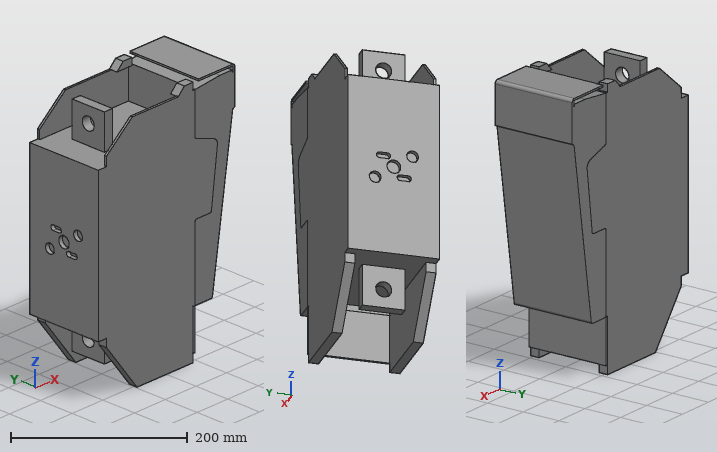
import cadquery as cq

WIDTH = 108.0
HEIGHT = 351.0
DEPTH = 223.0

BLOCK_BOTTOM = 77.5
BLOCK_TOP = 291.7
BLOCK_MIDDLE = (BLOCK_BOTTOM + BLOCK_TOP) / 2
WALL_FRONT = 13.5
WALL_TOP = 339.8
WALL_REAR = 154.8
HOUSING_REAR = 158.0
SHOULDER_BOTTOM = 70.2
UPPER_SLOPE_START_Z = 304.5
UPPER_SLOPE_END_X = 55.5
LOWER_SLOPE_START_Z = 66.0
LOWER_SLOPE_END_X = 63.2

UPPER_WALL = 3.0
THICK_WALL = 12.0
HOOK_FRONT = 130.2
HOOK_HEIGHT = 10.2

TONGUE_TOP = 278.5
TONGUE_TIP_X = 195.0
TONGUE_TIP_Z = 266.0
TONGUE_BOTTOM = 177.5
TONGUE_BOTTOM_X = 184.3
TONGUE_TIP_RADIUS = 9.0
TONGUE_SMALL_RADIUS = 2.8

RECESS_DEPTH = 6.0
CENTRE_DIAMETER = 16.0
ROUND_DIAMETER = 13.7
ROUND_OFFSET_Y = 22.0
ROUND_OFFSET_Z = 15.0
SLOT_LENGTH = 16.5
SLOT_HEIGHT = 7.0
SLOT_OFFSET_Y = 12.3
SLOT_OFFSET_Z = 12.5

TERMINAL_FRONT = 39.5
TERMINAL_THICKNESS = 13.5
TERMINAL_WIDTH = 50.5
TERMINAL_LENGTH = 50.2
TERMINAL_HOLE_DIAMETER = 18.5
TERMINAL_HOLE_TO_END = 22.5

PLATE_BOTTOM = 11.5

LID_FRONT = 163.5
LID_THICKNESS = 2.5
LID_EDGE_RADIUS = 4.2
LIP_THICKNESS = 3.5
LIP_INNER_X = DEPTH - LIP_THICKNESS
LIP_BOTTOM = 297.0
LIP_CHAMFER_DROP = 2.0
COVER_TOP = 344.0
COVER_TOP_FLAT_START = 198.3
COVER_EDGE_BREAK = 1.5
SLIT_DEPTH = 2.8
COVER_BOTTOM_X = 186.0
COVER_BOTTOM_RADIUS = 2.8


def extrude_across(points, width):
    """Prism with an XZ outline, centred on Y = 0."""
    return cq.Workplane("XZ").polyline(points).close().extrude(width / 2, both=True)


def box_between(x_range, width, z_range):
    """Box centred on Y = 0."""
    x0, x1 = x_range
    z0, z1 = z_range
    return extrude_across([(x0, z0), (x1, z0), (x1, z1), (x0, z1)], width)


def fillet_across(solid, x, z, radius):
    """Round the edge that runs along Y at the given XZ corner."""
    margin = 0.5
    corner = cq.selectors.BoxSelector(
        (x - margin, -WIDTH, z - margin), (x + margin, WIDTH, z + margin)
    )
    return solid.edges("|Y").edges(corner).fillet(radius)


def housing_blank():
    outline = [
        (0, BLOCK_BOTTOM),
        (WALL_FRONT, BLOCK_BOTTOM),
        (WALL_FRONT, LOWER_SLOPE_START_Z),
        (LOWER_SLOPE_END_X, 0),
        (WALL_REAR, 0),
        (WALL_REAR, SHOULDER_BOTTOM),
        (HOUSING_REAR, SHOULDER_BOTTOM),
        (HOUSING_REAR, TONGUE_BOTTOM),
        (TONGUE_BOTTOM_X, TONGUE_BOTTOM),
        (TONGUE_TIP_X, TONGUE_TIP_Z),
        (HOUSING_REAR, TONGUE_TOP),
        (HOUSING_REAR, WALL_TOP),
        (UPPER_SLOPE_END_X, WALL_TOP),
        (WALL_FRONT, UPPER_SLOPE_START_Z),
        (WALL_FRONT, BLOCK_TOP),
        (0, BLOCK_TOP),
    ]
    blank = extrude_across(outline, WIDTH)
    blank = fillet_across(blank, TONGUE_TIP_X, TONGUE_TIP_Z, TONGUE_TIP_RADIUS)
    blank = fillet_across(blank, TONGUE_BOTTOM_X, TONGUE_BOTTOM, TONGUE_SMALL_RADIUS)
    blank = fillet_across(blank, HOUSING_REAR, TONGUE_TOP, TONGUE_SMALL_RADIUS)
    return fillet_across(blank, HOUSING_REAR, TONGUE_BOTTOM, TONGUE_SMALL_RADIUS)


def upper_bay():
    """Space between the thin side walls, open to the cover."""
    return box_between((0, HOUSING_REAR), WIDTH - 2 * UPPER_WALL, (BLOCK_TOP, HEIGHT))


def lower_bay():
    """Space between the feet, leaving a shoulder level with the feet's rear edge."""
    inner_width = WIDTH - 2 * THICK_WALL
    return box_between((0, WALL_REAR), inner_width, (0, BLOCK_BOTTOM))


def hooks():
    """Two hooks on top of the side walls, thicker than the walls."""
    hook_top = WALL_TOP + HOOK_HEIGHT
    outline = [
        (HOOK_FRONT, WALL_TOP),
        (HOOK_FRONT + HOOK_HEIGHT, hook_top),
        (WALL_REAR, hook_top),
        (WALL_REAR, WALL_TOP),
    ]
    gap = box_between((0, HOUSING_REAR), WIDTH - 2 * THICK_WALL, (WALL_TOP, HEIGHT))
    return extrude_across(outline, WIDTH).cut(gap)


def face_recesses():
    """Shallow round and slotted recesses, point-symmetric about the face centre."""
    face = cq.Workplane("YZ", origin=(0, 0, BLOCK_MIDDLE))
    centre = face.circle(CENTRE_DIAMETER / 2).extrude(RECESS_DEPTH)
    rounds = (
        face.pushPoints([(-ROUND_OFFSET_Y, ROUND_OFFSET_Z), (ROUND_OFFSET_Y, -ROUND_OFFSET_Z)])
        .circle(ROUND_DIAMETER / 2)
        .extrude(RECESS_DEPTH)
    )
    slots = (
        face.pushPoints([(SLOT_OFFSET_Y, SLOT_OFFSET_Z), (-SLOT_OFFSET_Y, -SLOT_OFFSET_Z)])
        .slot2D(SLOT_LENGTH, SLOT_HEIGHT)
        .extrude(RECESS_DEPTH)
    )
    return centre.union(rounds).union(slots)


def make_housing():
    body = housing_blank().cut(upper_bay()).cut(lower_bay())
    return body.union(hooks()).cut(face_recesses())


def make_cover(housing):
    """Cover with an L-shaped lid; the housing tongue fits into it."""
    outline = [
        (HOUSING_REAR, SHOULDER_BOTTOM),
        (COVER_BOTTOM_X, SHOULDER_BOTTOM),
        (LIP_INNER_X, LIP_BOTTOM - LIP_CHAMFER_DROP),
        (DEPTH, LIP_BOTTOM),
        (DEPTH, HEIGHT),
        (LID_FRONT, HEIGHT),
        (LID_FRONT, HEIGHT - LID_THICKNESS),
        (LIP_INNER_X, HEIGHT - LID_THICKNESS),
        (LIP_INNER_X, COVER_TOP - SLIT_DEPTH),
        (LIP_INNER_X - COVER_EDGE_BREAK, COVER_TOP),
        (COVER_TOP_FLAT_START, COVER_TOP),
        (HOUSING_REAR, WALL_TOP),
    ]
    body = extrude_across(outline, WIDTH)
    body = fillet_across(body, DEPTH, HEIGHT, LID_EDGE_RADIUS)
    body = fillet_across(body, COVER_BOTTOM_X, SHOULDER_BOTTOM, COVER_BOTTOM_RADIUS)
    return body.cut(housing)


def make_terminal(base_z, direction):
    """Drilled terminal standing on the housing block; direction is +1 up, -1 down."""
    end_z = base_z + direction * TERMINAL_LENGTH
    x_range = (TERMINAL_FRONT, TERMINAL_FRONT + TERMINAL_THICKNESS)
    bar = box_between(x_range, TERMINAL_WIDTH, (base_z, end_z))
    hole_z = end_z - direction * TERMINAL_HOLE_TO_END
    hole = (
        cq.Workplane("YZ", origin=(TERMINAL_FRONT, 0, hole_z))
        .circle(TERMINAL_HOLE_DIAMETER / 2)
        .extrude(TERMINAL_THICKNESS)
    )
    return bar.cut(hole)


def make_rear_plate():
    """Full-width plate on the back of the feet, below the housing shoulder."""
    return box_between((WALL_REAR, HOUSING_REAR), WIDTH, (PLATE_BOTTOM, SHOULDER_BOTTOM))


housing = make_housing()
cover = make_cover(housing)
rear_plate = make_rear_plate()
terminals = [
    make_terminal(base_z, direction)
    for base_z, direction in ((BLOCK_TOP, 1), (BLOCK_BOTTOM, -1))
]

result = cq.Compound.makeCompound(
    [housing.val(), cover.val(), rear_plate.val(), *[terminal.val() for terminal in terminals]]
)